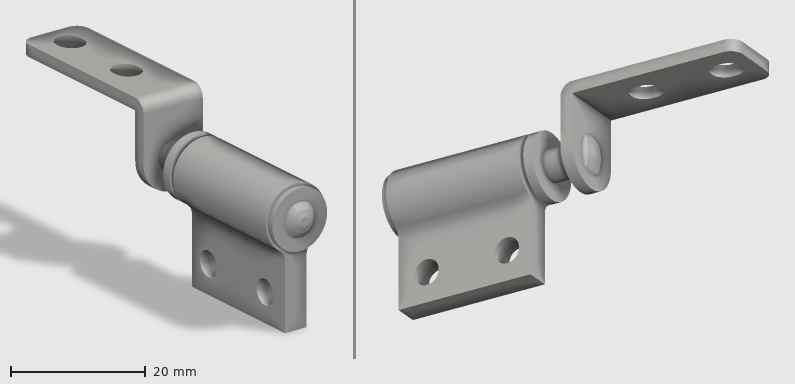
import cadquery as cq
import math


width = 11.0
barrel_radius = width / 2
bracket_length = 30.5
bracket_thickness = 2.0
bracket_top = 10.05
bracket_corner_radius = 2.0
bend_radius = 2.0
slot_length = 5.25
slot_width = 4.4
slot_first_x = 4.9
hole_count = 2
hole_pitch = 14.0

barrel_start = 37.85
barrel_length = 23.0
barrel_end = barrel_start + barrel_length
leaf_thickness = 4.05
leaf_bottom = -18.0
leaf_fillet_radius = 2.0
leaf_hole_diameter = 4.2
leaf_hole_first_x = barrel_start + 4.1
leaf_hole_height = 5.0

washer_radius = 5.05
washer_thickness = 0.5
washer_count = 2
washers_end = barrel_end + washer_count * washer_thickness

pin_radius = 2.6
pin_end = 63.1
pin_start = bracket_length - bracket_thickness
flange_start = 35.4
flange_thickness = 1.6
neck_start = flange_start + flange_thickness
neck_radius = 4.3


def disc(start, length, radius):
    """Cylinder on the pin axis."""
    return cq.Workplane("YZ", origin=(start, 0, 0)).circle(radius).extrude(length)


def make_shank():
    """Straight part of the pin; it also cuts the matching holes in the other bodies."""
    return disc(pin_start, washers_end - pin_start, pin_radius)


def make_bracket():
    """Slotted arm bent down into a round-ended tab that holds the pin."""
    arm = (
        cq.Workplane("XY", origin=(0, 0, bracket_top - bracket_thickness))
        .rect(bracket_length, width)
        .extrude(bracket_thickness)
        .translate((bracket_length / 2, 0, 0))
        .edges("|Z and <X")
        .fillet(bracket_corner_radius)
    )
    tab = (
        cq.Workplane("YZ", origin=(pin_start, 0, 0))
        .moveTo(-barrel_radius, bracket_top)
        .lineTo(-barrel_radius, 0)
        .threePointArc((0, -barrel_radius), (barrel_radius, 0))
        .lineTo(barrel_radius, bracket_top)
        .close()
        .extrude(bracket_thickness)
    )
    bent = arm.union(tab).edges("|Y and >X and >Z").fillet(bend_radius)
    slots = (
        cq.Workplane("XY", origin=(0, 0, bracket_top))
        .pushPoints([(slot_first_x + i * hole_pitch, 0) for i in range(hole_count)])
        .slot2D(slot_length, slot_width)
        .extrude(-bracket_thickness)
    )
    return bent.cut(slots).cut(make_shank())


def make_leaf():
    """Barrel and plate in one profile, blended by a fillet on each side."""
    half = leaf_thickness / 2
    fillet_y = half + leaf_fillet_radius
    center_distance = barrel_radius + leaf_fillet_radius
    fillet_z = -math.sqrt(center_distance**2 - fillet_y**2)
    touch_y = fillet_y * barrel_radius / center_distance
    touch_z = fillet_z * barrel_radius / center_distance
    profile = (
        cq.Workplane("YZ", origin=(barrel_start, 0, 0))
        .moveTo(-half, leaf_bottom)
        .lineTo(half, leaf_bottom)
        .lineTo(half, fillet_z)
        .radiusArc((touch_y, touch_z), leaf_fillet_radius)
        .threePointArc((0, barrel_radius), (-touch_y, touch_z))
        .radiusArc((-half, fillet_z), leaf_fillet_radius)
        .close()
    )
    leaf_holes = (
        cq.Workplane("XZ", origin=(0, half, leaf_bottom + leaf_hole_height))
        .pushPoints([(leaf_hole_first_x + i * hole_pitch, 0) for i in range(hole_count)])
        .circle(leaf_hole_diameter / 2)
        .extrude(leaf_thickness)
    )
    return profile.extrude(barrel_length).cut(leaf_holes).cut(make_shank())


def make_washer(start):
    """Flat ring around the pin."""
    return disc(start, washer_thickness, washer_radius).cut(make_shank())


def make_head(half_width, half_height, corner, taper, height, cap_base_radius, tip_radius):
    """Peened head on the plane X = 0, pointing to +X.

    Four arcs meet in corners at (+-Y, +-Z). The sides lean in by the taper angle in degrees,
    and a shallow cone forms the cap.
    """
    corner_y, corner_z = corner
    sides = (
        cq.Workplane("YZ")
        .moveTo(corner_y, -corner_z)
        .threePointArc((half_width, 0), (corner_y, corner_z))
        .threePointArc((0, half_height), (-corner_y, corner_z))
        .threePointArc((-half_width, 0), (-corner_y, -corner_z))
        .threePointArc((0, -half_height), (corner_y, -corner_z))
        .close()
        .extrude(height, taper=taper)
    )
    cap = cq.Solid.makeCone(cap_base_radius, tip_radius, height, dir=cq.Vector(1, 0, 0))
    return sides.intersect(cq.Workplane(cap))


def make_pin():
    """Shank with a flange and neck before the barrel and a peened head at each end."""
    flange = disc(flange_start, flange_thickness, barrel_radius)
    neck = disc(neck_start, barrel_start - neck_start, neck_radius)
    bracket_head = make_head(
        half_width=2.6,
        half_height=3.15,
        corner=(1.95, 2.5),
        taper=57,
        height=0.95,
        cap_base_radius=3.8,
        tip_radius=0,
    )
    washer_head = make_head(
        half_width=2.8,
        half_height=2.85,
        corner=(1.45, 2.5),
        taper=52,
        height=pin_end - washers_end,
        cap_base_radius=3.7,
        tip_radius=0.8,
    )
    return (
        make_shank()
        .union(flange)
        .union(neck)
        .union(bracket_head.mirror("YZ").translate((pin_start, 0, 0)))
        .union(washer_head.translate((washers_end, 0, 0)))
    )


bracket = make_bracket()
leaf = make_leaf()
pin = make_pin()
washers = [make_washer(barrel_end + i * washer_thickness) for i in range(washer_count)]

result = cq.Compound.makeCompound([bracket.val(), leaf.val(), pin.val(), *[w.val() for w in washers]])